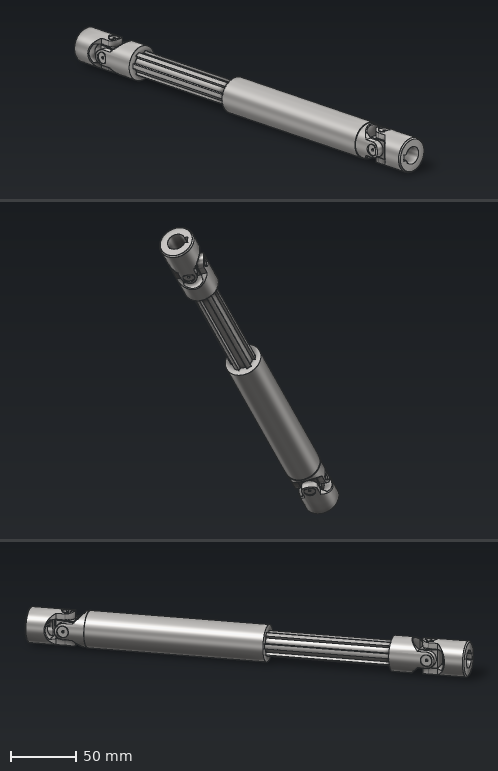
import cadquery as cq
TOTAL_LENGTH = 350.0
JOINT_REACH = 30.0
PIVOT_X = TOTAL_LENGTH / 2 - JOINT_REACH
SLEEVE_START_X = -15.0
SHAFT_YOKE_REACH = 29.8
SLEEVE_YOKE_REACH = 17.0
SLEEVE_END_X = PIVOT_X - SLEEVE_YOKE_REACH
ENGAGED_LENGTH = 105.0

SLEEVE_DIAMETER = 29.0
YOKE_DIAMETER = 28.0
PIN_DIAMETER = 9.0
PIN_CENTRE_DIAMETER = 1.8
PIN_CENTRE_DEPTH = 1.8

CROSS_SIZE = 14.5
FORK_GAP = 15.5
FORK_DEPTH = 14.0
GAP_FLOOR_DIAMETER = 24.0
SHOULDER_SETBACK = 0.7
PRONG_WIDTH = 13.0
PIN_SPAN = 25.5
END_CHAMFER = 1.0

BORE_DIAMETER = 14.0
KEYWAY_WIDTH = 5.0
KEYWAY_REACH = 9.0
KEYWAY_LENGTH = 14.0

SPLINE_TEETH = 6
SPLINE_MAJOR_DIAMETER = 20.0
SPLINE_MINOR_DIAMETER = 15.8
SPLINE_TOOTH_WIDTH = 4.0

YOKE_RADIUS = YOKE_DIAMETER / 2


def cylinder_x(diameter, start, end):
    """Cylinder on the X axis from start to end."""
    return cq.Workplane("YZ", origin=(start, 0, 0)).circle(diameter / 2).extrude(end - start)


def pivot_cylinder(diameter, length):
    """Cylinder of the given length on the Z axis, centred on the origin."""
    return cq.Workplane("XY").circle(diameter / 2).extrude(length / 2, both=True)


def fork_outline():
    """Plan of the fork: full width, 45-degree shoulders, then a prong with a round tip."""
    half_width = PRONG_WIDTH / 2
    return (
        cq.Workplane("XY")
        .moveTo(-JOINT_REACH, -YOKE_RADIUS)
        .lineTo(-YOKE_RADIUS - SHOULDER_SETBACK, -YOKE_RADIUS)
        .lineTo(-half_width - SHOULDER_SETBACK, -half_width)
        .lineTo(0, -half_width)
        .threePointArc((half_width, 0), (0, half_width))
        .lineTo(-half_width - SHOULDER_SETBACK, half_width)
        .lineTo(-YOKE_RADIUS - SHOULDER_SETBACK, YOKE_RADIUS)
        .lineTo(-JOINT_REACH, YOKE_RADIUS)
        .close()
        .extrude(YOKE_RADIUS, both=True)
    )


def yoke(reach):
    """Yoke with its pivot at the origin, its body towards -X and its prongs at +Z and -Z."""
    body = cylinder_x(YOKE_DIAMETER, -reach, PRONG_WIDTH / 2).intersect(fork_outline())
    gap_slab = cq.Workplane("XY").box(2 * reach, YOKE_DIAMETER, FORK_GAP)
    gap = (
        cq.Workplane("XZ")
        .moveTo(GAP_FLOOR_DIAMETER / 2 - FORK_DEPTH, 0)
        .circle(GAP_FLOOR_DIAMETER / 2)
        .extrude(YOKE_RADIUS, both=True)
        .intersect(gap_slab)
    )
    return body.cut(gap).cut(pivot_cylinder(PIN_DIAMETER, YOKE_DIAMETER))


def outer_yoke():
    """End yoke with a chamfered face and a bore that is open to the fork; keyway on the -Y side."""
    blank = yoke(JOINT_REACH).faces("<X").chamfer(END_CHAMFER)
    bore = cylinder_x(BORE_DIAMETER, -JOINT_REACH, 0)
    keyway = (
        cq.Workplane("XY")
        .box(KEYWAY_LENGTH, KEYWAY_REACH, KEYWAY_WIDTH)
        .translate((KEYWAY_LENGTH / 2 - JOINT_REACH, -KEYWAY_REACH / 2, 0))
    )
    return blank.cut(bore).cut(keyway)


def pivot_cross():
    """Cross block with four pins along Y and Z, each with a small centre hole in its tip."""
    pins = pivot_cylinder(PIN_DIAMETER, PIN_SPAN)
    holes = pivot_cylinder(PIN_CENTRE_DIAMETER, PIN_SPAN).cut(
        pivot_cylinder(PIN_CENTRE_DIAMETER, PIN_SPAN - 2 * PIN_CENTRE_DEPTH)
    )
    axle = pins.cut(holes)
    crossing_axle = axle.rotate((0, 0, 0), (1, 0, 0), 90)
    return cq.Workplane("XY").box(CROSS_SIZE, CROSS_SIZE, CROSS_SIZE).union(axle).union(crossing_axle)


def spline_bar(start, end):
    """Straight-sided splined bar on the X axis, made of opposite tooth pairs; one pair lies along Y."""
    bar = cylinder_x(SPLINE_MINOR_DIAMETER, start, end)
    length = end - start
    for i in range(SPLINE_TEETH // 2):
        tooth_pair = (
            cq.Workplane("XY")
            .box(length, SPLINE_MAJOR_DIAMETER, SPLINE_TOOTH_WIDTH)
            .translate((start + length / 2, 0, 0))
            .rotate((0, 0, 0), (1, 0, 0), i * 360 / SPLINE_TEETH)
        )
        bar = bar.union(tooth_pair)
    return bar.intersect(cylinder_x(SPLINE_MAJOR_DIAMETER, start, end))


def inner_yoke(reach):
    """Yoke with its body towards -X and its prongs at +Y and -Y."""
    return yoke(reach).rotate((0, 0, 0), (1, 0, 0), 90)


def splined_shaft():
    """Left inner yoke and the splined shaft behind it."""
    fork = inner_yoke(SHAFT_YOKE_REACH).mirror("YZ").translate((-PIVOT_X, 0, 0))
    return fork.union(spline_bar(SHAFT_YOKE_REACH - PIVOT_X, SLEEVE_START_X + ENGAGED_LENGTH))


def sleeve():
    """Sleeve with the matching blind spline hole and the right inner yoke on its end."""
    tube = cylinder_x(SLEEVE_DIAMETER, SLEEVE_START_X, SLEEVE_END_X)
    fork = inner_yoke(SLEEVE_YOKE_REACH).translate((PIVOT_X, 0, 0))
    socket = spline_bar(SLEEVE_START_X, SLEEVE_START_X + ENGAGED_LENGTH)
    return tube.union(fork).cut(socket)


left_outer_yoke = outer_yoke().translate((-PIVOT_X, 0, 0))
right_outer_yoke = outer_yoke().mirror("YZ").translate((PIVOT_X, 0, 0))
crosses = [pivot_cross().translate((x, 0, 0)) for x in (-PIVOT_X, PIVOT_X)]

result = cq.Compound.makeCompound(
    [
        left_outer_yoke.val(),
        right_outer_yoke.val(),
        splined_shaft().val(),
        sleeve().val(),
        *[cross.val() for cross in crosses],
    ]
)